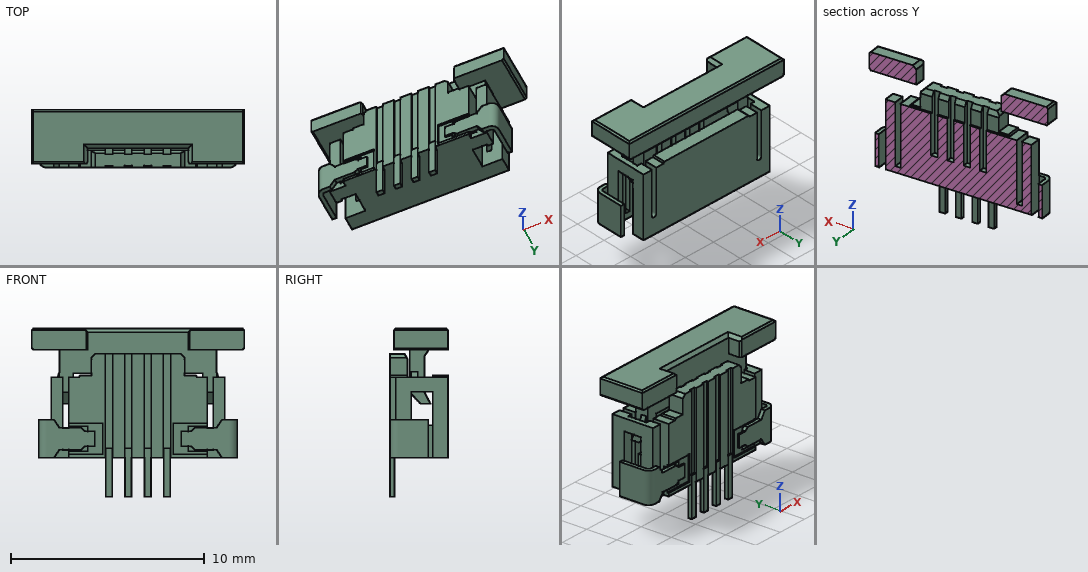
import cadquery as cq


housing_half_width = 4.49
housing_depth = 3.0
housing_height = 4.17
post_front = 0.31
post_back = 1.01
front_block_back = 0.91
shoulder_back = post_back
back_wall_front = 2.2
cavity_floor = 1.69
sill_height = 0.4
slit_bottom = 1.1
side_wall_inner = 4.16
slit_inner = 3.59
slit_outer = 3.88
step_height = 0.1
step_half_width = 3.06
step_slope = 0.07

guide_half_width = 2.41
guide_top = 5.38
guide_corner = 0.2
guide_back_chamfer_depth = 0.15
guide_back_chamfer_height = 0.29

window_front = 1.11
window_top = 3.41

pin_count = 4
pin_pitch = 1.0
pin_width = 0.35
pin_thickness = 0.24
pin_length = 2.01
pin_shoulder = 0.51
groove_width = 0.37
front_groove_depth = 0.11
back_groove_front = 0.69

clip_half_span = 5.14
clip_height = 1.98
clip_thickness = 0.24
clip_back = 1.99
clip_bend_radius = 0.42
clip_slope_start = 4.35
clip_slope_end = 4.06
arm_shoulder = 2.93
arm_neck = 2.74
arm_end = 2.23
arm_half_height = 0.56
arm_tip_half_height = 0.38

recess_inner = 1.83
recess_half_height = 0.79
recess_depth = 0.1
deep_recess_inner = 2.61
deep_recess_half_height = 0.65
deep_recess_depth = post_front

lid_half_width = 5.5
lid_front = 0.2
lid_bottom = 5.58
lid_top = 6.69
lid_chamfer = 0.1
lid_notch_half_width = 2.61
lid_notch_back = post_back
lid_notch_chamfer = 0.2
lid_notch_corner_width = 0.07
lid_notch_corner_depth = 0.1
plate_half_width = 4.06
plate_front = lid_notch_back
plate_back = 1.79
plate_bottom = 4.37
flare_start = 5.27
flare_back = 2.0
leg_inner = 3.34
hook_root = 3.39
hook_tip = 2.79
hook_tip_front = 1.58
hook_tip_back = 2.1
latch_width = 0.32
latch_top = 4.45
latch_bottom = 3.85
latch_reach = 0.21


def block(x, y, z):
    """Box spanning the given (low, high) ranges."""
    size = (x[1] - x[0], y[1] - y[0], z[1] - z[0])
    return cq.Workplane("XY").box(*size, centered=False).translate((x[0], y[0], z[0]))


def front_profile(points, y_front, y_back):
    """Outline in X and Z, extruded along Y."""
    return cq.Workplane("XZ", origin=(0, y_front, 0)).polyline(points).close().extrude(y_front - y_back)


def side_profile(points, x_low, x_high):
    """Outline in Y and Z, extruded along X."""
    return cq.Workplane("YZ", origin=(x_low, 0, 0)).polyline(points).close().extrude(x_high - x_low)


def mirrored(points):
    """Left-hand points followed by their mirror images, as one outline."""
    return points + [(-x, z) for x, z in reversed(points)]


def both_sides(left):
    return left.union(left.mirror("YZ"))


def pin_positions():
    return [(i - (pin_count - 1) / 2) * pin_pitch for i in range(pin_count)]


def make_front_wall():
    step_top = housing_height + step_height
    outline = mirrored([
        (-slit_inner, 0),
        (-slit_inner, housing_height),
        (-step_half_width, housing_height),
        (-step_half_width + step_slope, step_top),
        (-guide_half_width, step_top),
        (-guide_half_width, guide_top - guide_corner),
        (-guide_half_width + guide_corner, guide_top),
    ])
    wall = front_profile(outline, 0, front_block_back)
    bevel = side_profile(
        [
            (front_block_back, guide_top),
            (front_block_back - guide_back_chamfer_depth, guide_top),
            (front_block_back, guide_top - guide_back_chamfer_height),
        ],
        -guide_half_width,
        guide_half_width,
    )
    shoulders = block((-slit_inner, slit_inner), (front_block_back, shoulder_back), (0, housing_height))
    return wall.cut(bevel).union(shoulders)


def make_back_wall():
    """Back wall with a round-bottomed slit near each end."""
    step_top = housing_height + step_height
    outline = mirrored([
        (-side_wall_inner, 0),
        (-side_wall_inner, housing_height),
        (-step_half_width, housing_height),
        (-step_half_width + step_slope, step_top),
    ])
    slit_radius = (slit_outer - slit_inner) / 2
    slit = (
        cq.Workplane("XZ", origin=(0, back_wall_front, 0))
        .moveTo(-slit_outer, housing_height)
        .lineTo(-slit_outer, slit_bottom + slit_radius)
        .threePointArc((-slit_outer + slit_radius, slit_bottom), (-slit_inner, slit_bottom + slit_radius))
        .lineTo(-slit_inner, housing_height)
        .close()
        .extrude(back_wall_front - housing_depth)
    )
    return front_profile(outline, back_wall_front, housing_depth).cut(both_sides(slit))


def make_left_end():
    """End wall with its front post, and a window through it."""
    outer = -housing_half_width
    full_height = (0, housing_height)
    end = block((outer, -side_wall_inner), (post_front, housing_depth), full_height)
    end = end.union(block((outer, -slit_outer), (post_front, post_back), full_height))
    window = block((outer, -side_wall_inner), (window_front, back_wall_front), (0, window_top))
    return end.cut(window)


def make_base():
    """Cavity floor between the slider legs, and a sill joining the front wall to the end walls."""
    cavity_base = block((-leg_inner, leg_inner), (front_block_back, back_wall_front), (0, cavity_floor))
    sill = block((-side_wall_inner, side_wall_inner), (post_front, post_back), (0, sill_height))
    return cavity_base.union(sill)


def make_housing():
    housing = make_base().union(make_front_wall()).union(make_back_wall()).union(both_sides(make_left_end()))
    mid = clip_height / 2
    recess = block(
        (-slit_inner, -recess_inner),
        (0, recess_depth),
        (mid - recess_half_height, mid + recess_half_height),
    )
    deep_recess = block(
        (-slit_inner, -deep_recess_inner),
        (0, deep_recess_depth),
        (mid - deep_recess_half_height, mid + deep_recess_half_height),
    )
    return housing.cut(both_sides(recess.union(deep_recess)))


def make_pin(x):
    half = pin_width / 2
    return block((x - half, x + half), (0, pin_thickness), (-pin_length, pin_shoulder))


def make_grooves(x):
    """Front groove above the pin, and the matching groove behind the cable guide."""
    span = (x - groove_width / 2, x + groove_width / 2)
    front = block(span, (0, front_groove_depth), (0, guide_top))
    back = block(span, (back_groove_front, shoulder_back), (cavity_floor, guide_top))
    return front.union(back)


def make_left_clip():
    """Bent sheet clip: side plate and front arm, whose tip sits in the wall of the deep recess."""
    outer = -clip_half_span
    sheet = block((outer, -arm_end), (0, clip_back), (0, clip_height))
    sheet = sheet.edges("|Z and <X and <Y").fillet(clip_bend_radius)
    inside = block((outer + clip_thickness, -arm_end), (clip_thickness, clip_back), (0, clip_height))
    inside = inside.edges("|Z and <X and <Y").fillet(clip_bend_radius - clip_thickness)
    mid = clip_height / 2
    upper_edge = [
        (outer, clip_height),
        (-clip_slope_start, clip_height),
        (-clip_slope_end, mid + arm_half_height),
        (-arm_shoulder, mid + arm_half_height),
        (-arm_neck, mid + arm_tip_half_height),
        (-arm_end, mid + arm_tip_half_height),
    ]
    lower_edge = [(x, clip_height - z) for x, z in reversed(upper_edge)]
    return sheet.cut(inside).intersect(front_profile(upper_edge + lower_edge, 0, clip_back))


def make_lid():
    lid = block((-lid_half_width, lid_half_width), (lid_front, housing_depth), (lid_bottom, lid_top))
    lid = lid.faces(">Z").edges().chamfer(lid_chamfer)
    lid = lid.edges("<Z and |Y").chamfer(lid_chamfer)
    notch = block(
        (-lid_notch_half_width, lid_notch_half_width),
        (lid_front, lid_notch_back),
        (lid_bottom, lid_top),
    )
    flare_half_width = lid_notch_half_width + lid_notch_chamfer
    flare = (
        cq.Workplane("XY", origin=(0, 0, lid_top))
        .rect(2 * flare_half_width, 2 * (lid_notch_back + lid_notch_chamfer))
        .workplane(offset=-lid_notch_chamfer)
        .rect(2 * lid_notch_half_width, 2 * lid_notch_back)
        .loft()
    )
    corner = (
        cq.Workplane("XY", origin=(-lid_notch_half_width, lid_front, lid_bottom))
        .polyline([(0, 0), (-lid_notch_corner_width, 0), (0, lid_notch_corner_depth)])
        .close()
        .extrude(lid_top - lid_bottom)
    )
    return lid.cut(notch).cut(flare).cut(both_sides(corner))


def make_left_leg():
    """Hooked leg of the slider, with a wedge latch biting into the end wall."""
    leg = side_profile(
        [
            (plate_front, plate_bottom),
            (plate_front, hook_root),
            (hook_tip_front, hook_tip),
            (hook_tip_back, hook_tip),
            (plate_back, hook_root),
            (plate_back, plate_bottom),
        ],
        -plate_half_width,
        -leg_inner,
    )
    latch = front_profile(
        [
            (-plate_half_width, latch_top),
            (-plate_half_width - latch_reach, latch_bottom),
            (-plate_half_width, latch_bottom),
        ],
        window_front,
        window_front + latch_width,
    )
    return leg.union(latch)


def make_slider():
    plate = side_profile(
        [
            (plate_front, plate_bottom),
            (plate_front, lid_bottom),
            (flare_back, lid_bottom),
            (plate_back, flare_start),
            (plate_back, plate_bottom),
        ],
        -plate_half_width,
        plate_half_width,
    )
    return make_lid().union(plate).union(both_sides(make_left_leg()))


connector = make_housing()
for pin_x in pin_positions():
    connector = connector.cut(make_grooves(pin_x)).union(make_pin(pin_x))

result = connector.union(both_sides(make_left_clip())).union(make_slider())